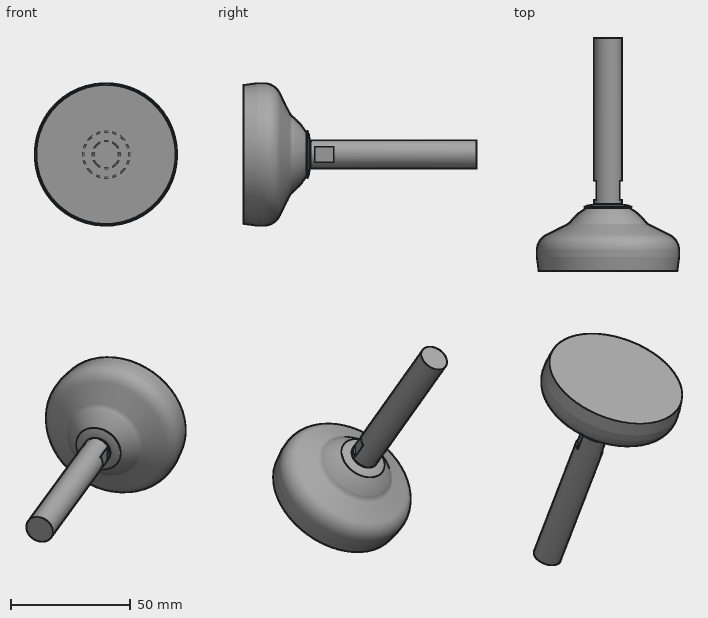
import cadquery as cq
import math

overall_length = 98.0

sole_radius = 29.2
rim_radius = 30.0
rim_start = 5.9
rim_end = 9.1
shoulder_radius = 25.4
shoulder_height = 15.5
shoulder_bulge = 1.1
cone_top_radius = 17.0
cone_top_height = 19.7
dome_base_radius = 15.5
dome_base_height = 21.2
blend_bulge = 0.1
dome_top_radius = 9.4
pad_height = 26.4
dome_bulge = 0.4

shaft_radius = 6.0
shaft_start = 28.3
neck_radius = 5.5
collar_radius = 10.0
collar_edge_height = 26.95
collar_top_height = 27.9
collar_bulge = 0.3
flat_start = 29.9
flat_length = 8.0
across_flats = 10.0


def revolve_about_y(outline):
    return outline.close().revolve(360, (0, 0, 0), (0, 1, 0))


def bulge_point(start, end, bulge):
    """Return the middle of an arc; a positive bulge lies away from the axis as height rises."""
    run = end[0] - start[0]
    rise = end[1] - start[1]
    chord = math.hypot(run, rise)
    middle_radius = (start[0] + end[0]) / 2 + bulge * rise / chord
    middle_height = (start[1] + end[1]) / 2 - bulge * run / chord
    return (middle_radius, middle_height)


def make_pad():
    rim_top = (rim_radius, rim_end)
    shoulder = (shoulder_radius, shoulder_height)
    cone_top = (cone_top_radius, cone_top_height)
    dome_base = (dome_base_radius, dome_base_height)
    dome_top = (dome_top_radius, pad_height)
    outline = (
        cq.Workplane("XY")
        .lineTo(sole_radius, 0)
        .lineTo(rim_radius, rim_start)
        .lineTo(*rim_top)
        .threePointArc(bulge_point(rim_top, shoulder, shoulder_bulge), shoulder)
        .lineTo(*cone_top)
        .threePointArc(bulge_point(cone_top, dome_base, -blend_bulge), dome_base)
        .threePointArc(bulge_point(dome_base, dome_top, dome_bulge), dome_top)
        .lineTo(0, pad_height)
    )
    return revolve_about_y(outline)


def cut_wrench_flats(spindle):
    flat_depth = shaft_radius - across_flats / 2
    flat_offset = across_flats / 2 + flat_depth / 2
    flat_middle = flat_start + flat_length / 2
    for side in (-1, 1):
        cutter = cq.Workplane("XY").box(flat_depth, flat_length, 2 * shaft_radius)
        spindle = spindle.cut(cutter.translate((side * flat_offset, flat_middle, 0)))
    return spindle


def make_spindle():
    collar_edge = (collar_radius, collar_edge_height)
    collar_top = (neck_radius, collar_top_height)
    outline = (
        cq.Workplane("XY")
        .moveTo(0, pad_height)
        .lineTo(dome_top_radius, pad_height)
        .lineTo(*collar_edge)
        .threePointArc(bulge_point(collar_edge, collar_top, collar_bulge), collar_top)
        .lineTo(neck_radius, shaft_start)
        .lineTo(shaft_radius, shaft_start)
        .lineTo(shaft_radius, overall_length)
        .lineTo(0, overall_length)
    )
    return cut_wrench_flats(revolve_about_y(outline))


pad = make_pad()
spindle = make_spindle()

result = cq.Compound.makeCompound([pad.val(), spindle.val()])